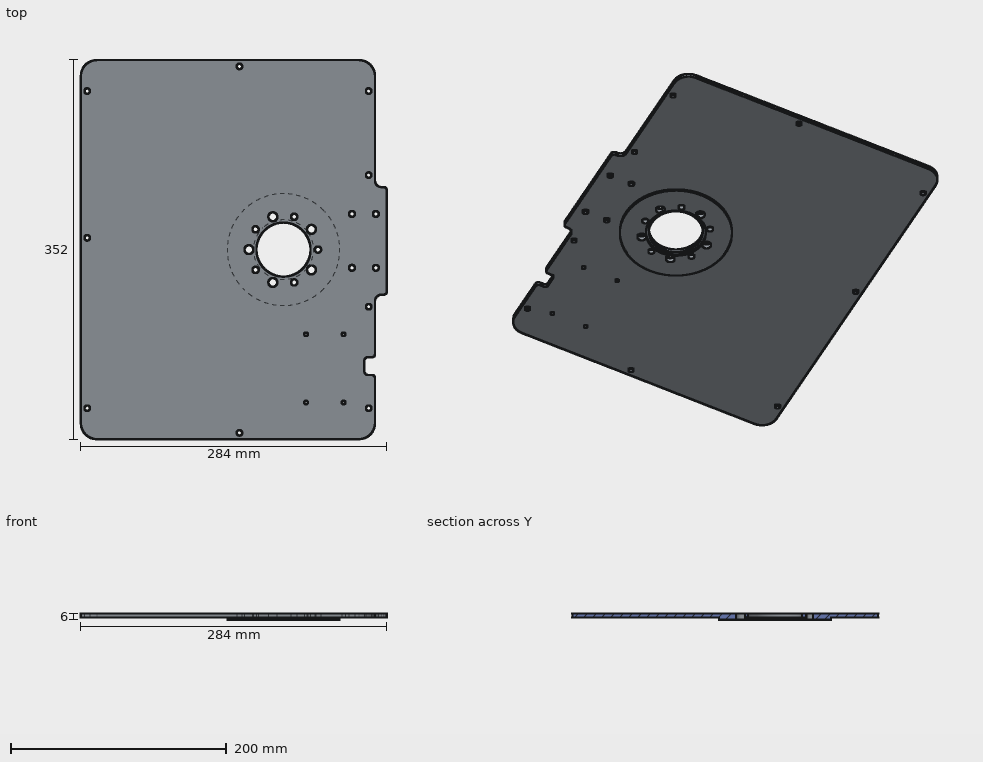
import cadquery as cq
import math

OVERALL_WIDTH = 284.0
LENGTH = 352.0
OVERALL_HEIGHT = 6.0
CORNER_RADIUS = 15.0
LEFT_EDGE = -OVERALL_WIDTH / 2

TAB_DEPTH = 11.0
TAB_LENGTH = 100.0
TAB_CENTER_Y = 8.0
TAB_ROOT_RADIUS = 6.0
TAB_TIP_RADIUS = 3.0
RIGHT_EDGE = OVERALL_WIDTH / 2 - TAB_DEPTH

NOTCH_DEPTH = 10.0
NOTCH_LENGTH = 16.2
NOTCH_CENTER_Y = -108.0
NOTCH_RADIUS = 3.0

BOSS_X = 46.0
BOSS_DIAMETER = 104.2
BOSS_HEIGHT = 2.0
BOSS_BORE_DIAMETER = 55.5
BORE_DIAMETER = 50.0
RING_RADIUS = 32.0
RING_HOLE_COUNT = 10
RING_LARGE_DIAMETER = 8.0
RING_SMALL_DIAMETER = 5.5
PLATE_THICKNESS = OVERALL_HEIGHT - BOSS_HEIGHT

EDGE_HOLE_DIAMETER = 5.0
EDGE_INSET = 6.0
END_HOLE_X = 5.3
CORNER_HOLE_Y = 147.0
LEFT_MIDDLE_HOLE_Y = 11.0
TAB_SIDE_HOLE_SPACING = 122.0

TAB_HOLE_DIAMETER = 5.3
TAB_HOLES_X = 120.7
TAB_HOLE_SPACING_X = 22.0
TAB_HOLE_SPACING_Y = 50.0

SMALL_HOLE_DIAMETER = 3.2
SMALL_HOLES_X = 84.5
SMALL_HOLES_Y = -110.0
SMALL_HOLE_SPACING_X = 35.0
SMALL_HOLE_SPACING_Y = 63.5


def slab(x_min, x_max, center_y, length):
    """Rectangular block of plate thickness standing on the plate underside."""
    return (
        cq.Workplane("XY")
        .center((x_min + x_max) / 2, center_y)
        .rect(x_max - x_min, length)
        .extrude(PLATE_THICKNESS)
    )


def round_edges(body, x, center_y, spacing, radius):
    """Round the two upright edges at x that lie spacing apart about center_y."""
    for y in (center_y - spacing / 2, center_y + spacing / 2):
        body = body.edges(cq.selectors.NearestToPointSelector((x, y, PLATE_THICKNESS / 2))).fillet(radius)
    return body


def rectangle_corners(center_x, center_y, spacing_x, spacing_y):
    return [
        (center_x + side_x * spacing_x / 2, center_y + side_y * spacing_y / 2)
        for side_x in (-1, 1)
        for side_y in (-1, 1)
    ]


def drill(body, points, diameter):
    """Cut a hole through the plate and boss at every point."""
    holes = (
        cq.Workplane("XY", origin=(0, 0, -BOSS_HEIGHT))
        .pushPoints(points)
        .circle(diameter / 2)
        .extrude(OVERALL_HEIGHT)
    )
    return body.cut(holes)


def make_plate():
    plate = slab(LEFT_EDGE, RIGHT_EDGE, 0, LENGTH).edges("|Z").fillet(CORNER_RADIUS)

    plate = plate.union(slab(0, RIGHT_EDGE + TAB_DEPTH, TAB_CENTER_Y, TAB_LENGTH))
    plate = round_edges(plate, RIGHT_EDGE, TAB_CENTER_Y, TAB_LENGTH, TAB_ROOT_RADIUS)
    plate = round_edges(plate, RIGHT_EDGE + TAB_DEPTH, TAB_CENTER_Y, TAB_LENGTH, TAB_TIP_RADIUS)

    notch_floor = RIGHT_EDGE - NOTCH_DEPTH
    plate = plate.cut(slab(notch_floor, RIGHT_EDGE, NOTCH_CENTER_Y, NOTCH_LENGTH))
    for x in (notch_floor, RIGHT_EDGE):
        plate = round_edges(plate, x, NOTCH_CENTER_Y, NOTCH_LENGTH, NOTCH_RADIUS)
    return plate


def add_boss(body):
    boss = (
        cq.Workplane("XY")
        .center(BOSS_X, 0)
        .circle(BOSS_DIAMETER / 2)
        .circle(BOSS_BORE_DIAMETER / 2)
        .extrude(-BOSS_HEIGHT)
    )
    body = drill(body.union(boss), [(BOSS_X, 0)], BORE_DIAMETER)

    ring = []
    for index in range(RING_HOLE_COUNT):
        angle = 2 * math.pi * index / RING_HOLE_COUNT
        ring.append((BOSS_X + RING_RADIUS * math.cos(angle), RING_RADIUS * math.sin(angle)))
    body = drill(body, ring[0::2], RING_SMALL_DIAMETER)
    return drill(body, ring[1::2], RING_LARGE_DIAMETER)


def drill_edge_holes(body):
    left_x = LEFT_EDGE + EDGE_INSET
    right_x = RIGHT_EDGE - EDGE_INSET
    end_y = LENGTH / 2 - EDGE_INSET
    points = [(left_x, LEFT_MIDDLE_HOLE_Y)]
    for side in (-1, 1):
        points += [
            (END_HOLE_X, side * end_y),
            (left_x, side * CORNER_HOLE_Y),
            (right_x, side * CORNER_HOLE_Y),
            (right_x, TAB_CENTER_Y + side * TAB_SIDE_HOLE_SPACING / 2),
        ]
    return drill(body, points, EDGE_HOLE_DIAMETER)


def drill_hole_patterns(body):
    tab_holes = rectangle_corners(TAB_HOLES_X, TAB_CENTER_Y, TAB_HOLE_SPACING_X, TAB_HOLE_SPACING_Y)
    small_holes = rectangle_corners(
        SMALL_HOLES_X, SMALL_HOLES_Y, SMALL_HOLE_SPACING_X, SMALL_HOLE_SPACING_Y
    )
    body = drill(body, tab_holes, TAB_HOLE_DIAMETER)
    return drill(body, small_holes, SMALL_HOLE_DIAMETER)


result = make_plate()
result = add_boss(result)
result = drill_edge_holes(result)
result = drill_hole_patterns(result)